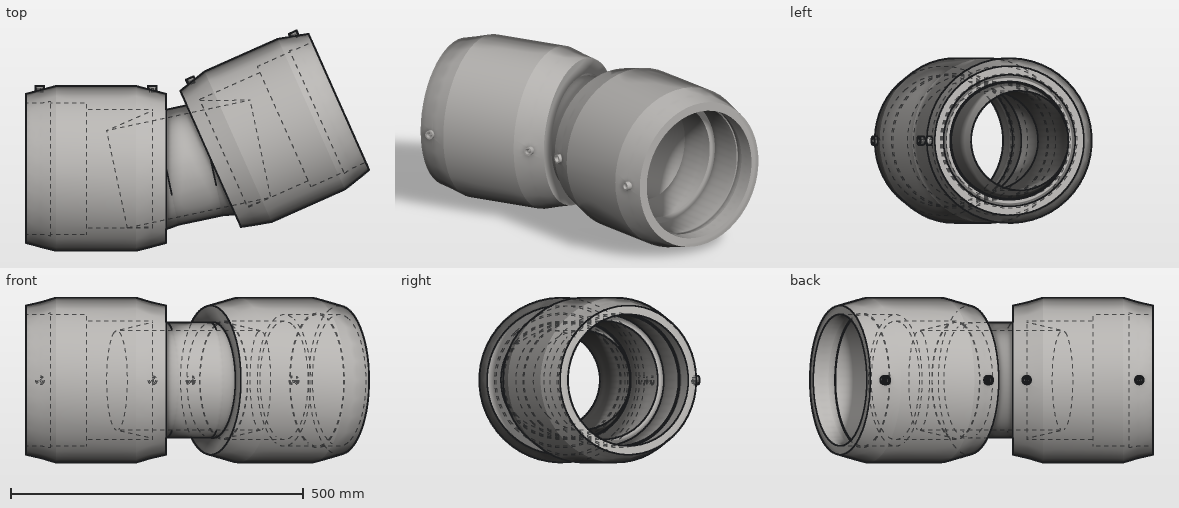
import cadquery as cq
import math

bend_angle = 24.0
socket_length = 240.0
neck_length = 77.5
neck_angle = bend_angle / 2

socket_diameter = 282.0
socket_end_diameter = 255.0
taper_length = 51.5

pipe_diameter = 225.0
pipe_bore_diameter = 202.5
seat_depth = 103.0
groove_depth = 2.5
groove_start = 28.5
groove_width = 13.0

neck_diameter = 197.01
neck_bore_diameter = 170.01
neck_bore_overrun = 86.5
flare_length = 24.0
flare_start = socket_length - flare_length
lip_root_gap = 2.0
lip_root_diameter = pipe_bore_diameter - 2 * lip_root_gap

terminal_diameter = 15.0
terminal_well_diameter = 10.0
terminal_well_depth = 10.0
terminal_height = 18.5
terminal_end_distance = 23.8
terminal_top_radius = socket_diameter / 2
terminal_root_radius = terminal_top_radius - terminal_height
contact_pin_diameter = 4.0
contact_pin_recess = 4.0


def socket_body():
    """Double-tapered round body along +X, starting at the origin."""
    radius = socket_diameter / 2
    end_radius = socket_end_diameter / 2
    return (
        cq.Workplane("XY")
        .polyline([
            (0, 0),
            (0, end_radius),
            (taper_length, radius),
            (socket_length - taper_length, radius),
            (socket_length, end_radius),
            (socket_length, 0),
        ])
        .close()
        .revolve(360, (0, 0, 0), (1, 0, 0))
    )


def radial_cylinder(x, diameter, root_radius, top_radius):
    """Round body along +Y at x, between two distances from the socket axis."""
    root = cq.Plane((x, root_radius, 0), (1, 0, 0), (0, 1, 0))
    return cq.Workplane(root).circle(diameter / 2).extrude(top_radius - root_radius)


def add_terminal(body, x):
    """Body with a shroud standing on its taper at x and a contact pin in the shroud's well."""
    well_radius = terminal_top_radius - terminal_well_depth
    pin_top_radius = terminal_top_radius - contact_pin_recess
    shroud = radial_cylinder(x, terminal_diameter, terminal_root_radius, terminal_top_radius)
    well = radial_cylinder(x, terminal_well_diameter, well_radius, terminal_top_radius)
    pin = radial_cylinder(x, contact_pin_diameter, terminal_root_radius, pin_top_radius)
    return body.union(shroud).cut(well).union(pin)


def pipe_seat():
    """Bore for the pipe end, with a ring groove that deepens inward and ends in a step."""
    radius = pipe_diameter / 2
    groove_end = groove_start + groove_width
    return (
        cq.Workplane("XY")
        .polyline([
            (0, 0),
            (0, radius),
            (groove_start, radius),
            (groove_end, radius + groove_depth),
            (groove_end, radius),
            (seat_depth, radius),
            (seat_depth, 0),
        ])
        .close()
        .revolve(360, (0, 0, 0), (1, 0, 0))
    )


def tilted_plane(distance):
    """Plane square to the neck axis, at a distance along it from the first socket's face."""
    angle = math.radians(neck_angle)
    direction = (math.cos(angle), math.sin(angle), 0)
    origin = (socket_length + distance * direction[0], distance * direction[1], 0)
    return cq.Plane(origin, (0, 0, 1), direction)


def round_transition(start_x, start_diameter, end_plane, end_diameter):
    """Straight-sided loft from a circle square to X to a circle square to the neck."""
    start_plane = cq.Plane((start_x, 0, 0), (0, 0, 1), (1, 0, 0))
    start = cq.Workplane(start_plane).circle(start_diameter / 2).wires().val()
    end = cq.Workplane(end_plane).circle(end_diameter / 2).wires().val()
    return cq.Workplane(cq.Solid.makeLoft([start, end], True))


def outer_flare():
    """Taper from the pipe diameter inside the socket down to the neck."""
    return round_transition(flare_start, pipe_diameter, tilted_plane(0), neck_diameter)


def inner_chamber():
    """Pipe bore that ends in a ring-shaped gap around a sharp lip on the neck bore."""
    bore = cq.Workplane("YZ").circle(pipe_bore_diameter / 2).extrude(flare_start)
    lip = round_transition(
        flare_start, lip_root_diameter, tilted_plane(-neck_bore_overrun), neck_bore_diameter
    )
    return bore.cut(lip)


def neck_cylinder(diameter, overrun):
    """Round body along the neck axis, reaching past both ends of the neck by the overrun."""
    return (
        cq.Workplane(tilted_plane(-overrun))
        .circle(diameter / 2)
        .extrude(neck_length + 2 * overrun)
    )


def with_mirror_copy(shape):
    """The shape together with its copy at the second socket."""
    middle = tilted_plane(neck_length / 2)
    return shape.union(shape.mirror(middle.zDir, middle.origin))


socket = socket_body().union(outer_flare())
for terminal_x in (terminal_end_distance, socket_length - terminal_end_distance):
    socket = add_terminal(socket, terminal_x)

cavity = pipe_seat().union(inner_chamber())

result = (
    with_mirror_copy(socket)
    .union(neck_cylinder(neck_diameter, 0))
    .cut(with_mirror_copy(cavity))
    .cut(neck_cylinder(neck_bore_diameter, neck_bore_overrun))
)